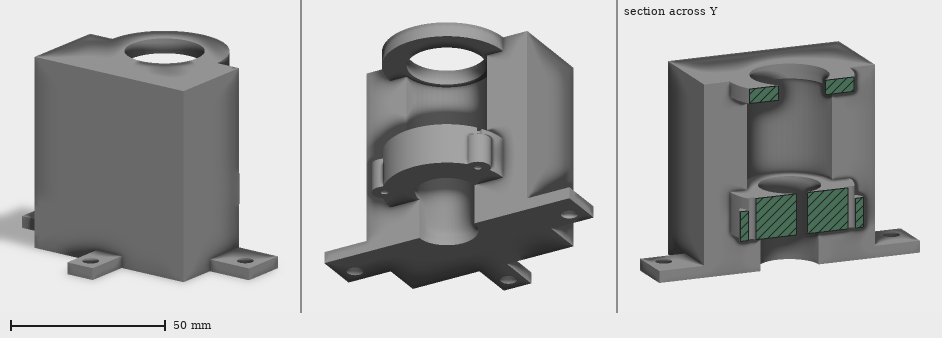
import cadquery as cq
import math

overall_width = 91.5
block_width = 60.0
block_depth = 30.0
block_height = 65.0

tab_length = (overall_width - block_width) / 2
tab_thickness = 4.0
side_tab_width = 15.7
front_tab_width = 10.25
tab_hole_diameter = 5.5
tab_hole_offset = 10.0
side_hole_y = -10.0

collar_radius = 21.0
top_collar_thickness = 5.0
top_hole_diameter = 26.0
lower_collar_bottom = 13.9
lower_collar_top = 27.9
lower_hole_diameter = 20.5

chamber_diameter = 30.0

lug_radius = 4.2
lug_top = 24.1
lug_circle_radius = 20.1
lug_angle = 30.0
screw_hole_diameter = 2.5


def box(width, depth, height, center_x, center_y):
    """Box standing on Z = 0, centred on the given point in plan."""
    return (
        cq.Workplane("XY")
        .box(width, depth, height, centered=(True, True, False))
        .translate((center_x, center_y, 0))
    )


def cylinder(radius, bottom, top, x=0, y=0):
    """Vertical cylinder between two heights."""
    return cq.Workplane("XY", origin=(x, y, bottom)).circle(radius).extrude(top - bottom)


def tab(width, depth, center_x, center_y, hole_x, hole_y):
    """Flat mounting tab with one through hole."""
    plate = box(width, depth, tab_thickness, center_x, center_y)
    return plate.cut(cylinder(tab_hole_diameter / 2, 0, tab_thickness, hole_x, hole_y))


top_collar_bottom = block_height - top_collar_thickness
body = box(block_width, block_depth, block_height, 0, -block_depth / 2)
body = body.union(cylinder(collar_radius, top_collar_bottom, block_height))
body = body.union(cylinder(collar_radius, lower_collar_bottom, lower_collar_top))

lug_x = lug_circle_radius * math.cos(math.radians(lug_angle))
lug_y = lug_circle_radius * math.sin(math.radians(lug_angle))
for side in (-1, 1):
    body = body.union(cylinder(lug_radius, lower_collar_bottom, lug_top, side * lug_x, lug_y))
    body = body.cut(
        cylinder(screw_hole_diameter / 2, lower_collar_bottom, lower_collar_top, side * lug_x, lug_y)
    )

body = body.cut(cylinder(top_hole_diameter / 2, top_collar_bottom, block_height))
body = body.cut(cylinder(chamber_diameter / 2, lower_collar_top, top_collar_bottom))
body = body.cut(cylinder(lower_hole_diameter / 2, 0, lower_collar_top))

for side in (-1, 1):
    body = body.union(
        tab(
            tab_length,
            side_tab_width,
            side * (block_width + tab_length) / 2,
            -side_tab_width / 2,
            side * (block_width / 2 + tab_hole_offset),
            side_hole_y,
        )
    )
body = body.union(
    tab(
        front_tab_width,
        tab_length,
        0,
        -block_depth - tab_length / 2,
        0,
        -block_depth - tab_hole_offset,
    )
)

result = body